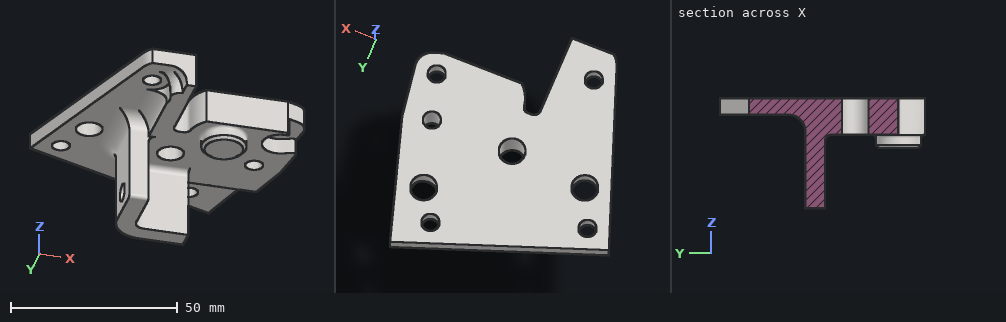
import cadquery as cq
import math

PLATE_THICKNESS = 5.0
CORNER_THICKNESS = 6.0
BLOCK_DEPTH = 11.0
PAD_DEPTH = 15.0
BRACKET_DEPTH = 33.0

TILT_DEG = 20.0
EDGE_OFFSET = 30.22
TOP_CORNER_REACH = 35.47
RIGHT_KINK = (34.75, 2.2)
RIGHT_ROUND_RADIUS = 5.0
RIGHT_FRONT_Y = -21.0
LEFT_FRONT_Y = -40.0
LEFT_ROUND_RADIUS = 7.0
LEFT_ROUND_START_Y = -37.05

SLOT_LEFT_X = -3.0
SLOT_END_Y = -13.0
SLOT_RADIUS = 2.0
PAD_CENTRE = (13.0, -13.0)
PAD_CLEAR_RADIUS = 11.0

SCREW_DIAMETER = 5.4
SCREW_PITCH = 47.14
EXTRA_SCREW = (26.0, 0.0)
LARGE_DIAMETER = 8.0
LARGE_HOLES = [(0.0, 0.0), (-24.6, 2.5), (20.15, 20.75)]
SCREW_CLEAR_RADIUS = 5.5

OUTER_X = -15.0
OUTER_Y = 15.0
WALL = 6.0
OUTER_RADIUS = 9.0
INNER_RADIUS = OUTER_RADIUS - WALL
SIDE_WALL_END_Y = -8.0
BACK_WALL_END_X = 8.0
SIDE_WALL_ROUND = 1.2
CROSS_HOLE_Z = -27.0
BRACKET_ROOT_RADIUS = 2.0
COVE_RADIUS = 5.0
STEP_RADIUS = 3.0
STEP_Y = -35.0
INNER_X = OUTER_X + WALL
INNER_Y = OUTER_Y - WALL

PAD_DIAMETER = 13.6
PAD_EDGE = 1.0

RELIEF_LEFT_X = 31.3
RELIEF_ROUND = 1.0

STOCK_REACH = 80.0
SELECT_MARGIN = 0.1

TILT = math.radians(TILT_DEG)
UPPER_LEFT = math.radians(135)
LOWER_LEFT = math.radians(225)


def tilted(u, v):
    """Point given along and across the tilted plate edges, in X, Y."""
    c = math.cos(TILT)
    s = math.sin(TILT)
    return (u * c - v * s, u * s + v * c)


def on_circle(centre, radius, angle):
    """Point on a circle at an angle measured from +X."""
    return (centre[0] + radius * math.cos(angle), centre[1] + radius * math.sin(angle))


def tangent_angle(point, centre, radius):
    """Angle on a circle where the tangent from a point above it touches its +X side."""
    dx = point[0] - centre[0]
    dy = point[1] - centre[1]
    return math.atan2(dy, dx) - math.acos(radius / math.hypot(dx, dy))


HALF_PITCH = SCREW_PITCH / 2
SCREW_HOLES = [tilted(su * HALF_PITCH, sv * HALF_PITCH) for su in (-1, 1) for sv in (-1, 1)]
LEFT_FRONT_SCREW = tilted(-HALF_PITCH, -HALF_PITCH)
RIGHT_FRONT_SCREW = tilted(HALF_PITCH, -HALF_PITCH)

RIGHT_ROUND_CENTRE = tilted(EDGE_OFFSET - RIGHT_ROUND_RADIUS, RIGHT_ROUND_RADIUS - EDGE_OFFSET)
RIGHT_ROUND_TOP = tangent_angle(RIGHT_KINK, RIGHT_ROUND_CENTRE, RIGHT_ROUND_RADIUS)


def plate_outline():
    """Closed outline shared by the plate and the block."""
    right_round_bottom = TILT - math.pi / 2
    right_round_mid = (RIGHT_ROUND_TOP + right_round_bottom) / 2
    round_end = on_circle(RIGHT_ROUND_CENTRE, RIGHT_ROUND_RADIUS, right_round_bottom)
    front_right_x = round_end[0] - (round_end[1] - RIGHT_FRONT_Y) / math.tan(TILT)

    front_angle = math.pi + math.asin((PAD_CENTRE[1] - RIGHT_FRONT_Y) / PAD_CLEAR_RADIUS)
    blend_y = SLOT_END_Y - SLOT_RADIUS
    blend_angle = math.pi + math.asin((PAD_CENTRE[1] - blend_y) / (PAD_CLEAR_RADIUS + SLOT_RADIUS))
    blend_centre = on_circle(PAD_CENTRE, PAD_CLEAR_RADIUS + SLOT_RADIUS, blend_angle)
    blend_start = blend_angle - math.pi
    blend_mid = (blend_start + math.pi / 2) / 2
    slot_left_centre = (SLOT_LEFT_X + SLOT_RADIUS, blend_y)

    left_v = (LEFT_ROUND_START_Y + EDGE_OFFSET * math.sin(TILT)) / math.cos(TILT)
    left_centre = tilted(LEFT_ROUND_RADIUS - EDGE_OFFSET, left_v)
    left_start = math.pi + TILT
    left_end = math.pi + math.asin((left_centre[1] - LEFT_FRONT_Y) / LEFT_ROUND_RADIUS)
    left_mid = (left_start + left_end) / 2

    return (
        cq.Workplane("XY")
        .moveTo(*tilted(-EDGE_OFFSET, EDGE_OFFSET))
        .lineTo(*tilted(TOP_CORNER_REACH, EDGE_OFFSET))
        .lineTo(*RIGHT_KINK)
        .lineTo(*on_circle(RIGHT_ROUND_CENTRE, RIGHT_ROUND_RADIUS, RIGHT_ROUND_TOP))
        .threePointArc(on_circle(RIGHT_ROUND_CENTRE, RIGHT_ROUND_RADIUS, right_round_mid), round_end)
        .lineTo(front_right_x, RIGHT_FRONT_Y)
        .lineTo(*on_circle(PAD_CENTRE, PAD_CLEAR_RADIUS, front_angle))
        .threePointArc(
            on_circle(PAD_CENTRE, PAD_CLEAR_RADIUS, (front_angle + blend_angle) / 2),
            on_circle(PAD_CENTRE, PAD_CLEAR_RADIUS, blend_angle),
        )
        .threePointArc(
            on_circle(blend_centre, SLOT_RADIUS, blend_mid),
            (blend_centre[0], SLOT_END_Y),
        )
        .lineTo(slot_left_centre[0], SLOT_END_Y)
        .threePointArc(
            on_circle(slot_left_centre, SLOT_RADIUS, UPPER_LEFT),
            (SLOT_LEFT_X, blend_y),
        )
        .lineTo(SLOT_LEFT_X, LEFT_FRONT_Y)
        .lineTo(on_circle(left_centre, LEFT_ROUND_RADIUS, left_end)[0], LEFT_FRONT_Y)
        .threePointArc(
            on_circle(left_centre, LEFT_ROUND_RADIUS, left_mid),
            on_circle(left_centre, LEFT_ROUND_RADIUS, left_start),
        )
        .close()
    )


def plate_with_block():
    """Plate and the thicker block under it, joined by a cove and trimmed to the outline."""
    plate = cq.Workplane("XY").rect(2 * STOCK_REACH, 2 * STOCK_REACH).extrude(-PLATE_THICKNESS)
    step_x = INNER_X + STEP_RADIUS
    step_centre = (step_x, STEP_Y + STEP_RADIUS)
    corner_centre = (OUTER_X + OUTER_RADIUS, OUTER_Y - OUTER_RADIUS)
    block = (
        cq.Workplane("XY")
        .moveTo(STOCK_REACH, OUTER_Y)
        .lineTo(corner_centre[0], OUTER_Y)
        .threePointArc(
            on_circle(corner_centre, OUTER_RADIUS, UPPER_LEFT),
            (OUTER_X, corner_centre[1]),
        )
        .lineTo(OUTER_X, SIDE_WALL_END_Y)
        .lineTo(INNER_X, SIDE_WALL_END_Y)
        .lineTo(INNER_X, step_centre[1])
        .threePointArc(
            on_circle(step_centre, STEP_RADIUS, LOWER_LEFT),
            (step_x, STEP_Y),
        )
        .lineTo(step_x, -STOCK_REACH)
        .lineTo(STOCK_REACH, -STOCK_REACH)
        .close()
        .extrude(-BLOCK_DEPTH)
    )
    inside = STOCK_REACH - SELECT_MARGIN
    cove_edges = cq.selectors.BoxSelector(
        (-inside, -inside, -PLATE_THICKNESS - SELECT_MARGIN),
        (inside, inside, -PLATE_THICKNESS + SELECT_MARGIN),
    )
    stock = plate.union(block).edges(cove_edges).fillet(COVE_RADIUS)
    return stock.intersect(plate_outline().extrude(-BLOCK_DEPTH))


def bracket():
    """L-shaped bracket hanging below the block."""
    height = BRACKET_DEPTH - BLOCK_DEPTH
    middle_z = -BRACKET_DEPTH + height / 2
    walls = (
        cq.Workplane("XY", origin=(0, 0, -BRACKET_DEPTH))
        .moveTo(OUTER_X, SIDE_WALL_END_Y)
        .lineTo(INNER_X, SIDE_WALL_END_Y)
        .lineTo(INNER_X, INNER_Y)
        .lineTo(BACK_WALL_END_X, INNER_Y)
        .lineTo(BACK_WALL_END_X, OUTER_Y)
        .lineTo(OUTER_X, OUTER_Y)
        .close()
        .extrude(height)
    )
    outer_corner = cq.selectors.NearestToPointSelector((OUTER_X, OUTER_Y, middle_z))
    walls = walls.edges(outer_corner).fillet(OUTER_RADIUS)
    inner_corner = cq.selectors.NearestToPointSelector((INNER_X, INNER_Y, middle_z))
    walls = walls.edges(inner_corner).fillet(INNER_RADIUS)
    return walls.faces("<Y").edges("<Z").fillet(SIDE_WALL_ROUND)


def round_bracket_root(body):
    """Fillet the inner faces of the bracket into the underside of the block."""
    root_edges = cq.selectors.BoxSelector(
        (INNER_X - SELECT_MARGIN, SIDE_WALL_END_Y + SELECT_MARGIN, -BLOCK_DEPTH - SELECT_MARGIN),
        (BACK_WALL_END_X - SELECT_MARGIN, INNER_Y + SELECT_MARGIN, -BLOCK_DEPTH + SELECT_MARGIN),
    )
    return body.edges(root_edges).fillet(BRACKET_ROOT_RADIUS)


def add_pad(body):
    """Round pad with a filleted root and a chamfered lower edge."""
    radius = PAD_DIAMETER / 2
    bottom = BLOCK_DEPTH - PAD_DEPTH
    profile = (
        cq.Workplane("XZ", origin=(*PAD_CENTRE, -BLOCK_DEPTH))
        .moveTo(0, PAD_EDGE)
        .lineTo(radius + PAD_EDGE, PAD_EDGE)
        .lineTo(radius + PAD_EDGE, 0)
        .radiusArc((radius, -PAD_EDGE), -PAD_EDGE)
        .lineTo(radius, bottom + PAD_EDGE)
        .lineTo(radius - PAD_EDGE, bottom)
        .lineTo(0, bottom)
        .close()
    )
    return body.union(profile.revolve(360, (0, 0, 0), (0, 1, 0)))


def left_screw_clearance():
    """Space for the head of the left front screw, up to the plate."""
    return (
        cq.Workplane("XY", origin=(0, 0, -BLOCK_DEPTH))
        .center(*LEFT_FRONT_SCREW)
        .circle(SCREW_CLEAR_RADIUS)
        .extrude(BLOCK_DEPTH - PLATE_THICKNESS)
    )


def corner_relief():
    """Clearance round the right front screw, open to the rounded corner of the plate."""
    depth = BLOCK_DEPTH - CORNER_THICKNESS
    base = cq.Workplane("XY", origin=(0, 0, -BLOCK_DEPTH))
    round_part = base.center(*RIGHT_FRONT_SCREW).circle(SCREW_CLEAR_RADIUS).extrude(depth)
    wall_start = on_circle(RIGHT_FRONT_SCREW, SCREW_CLEAR_RADIUS, math.pi / 2 - TILT)
    wall_end = (STOCK_REACH, wall_start[1] - (STOCK_REACH - wall_start[0]) * math.tan(TILT))
    open_part = (
        base.moveTo(RELIEF_LEFT_X, RIGHT_FRONT_SCREW[1])
        .lineTo(*wall_start)
        .lineTo(*wall_end)
        .lineTo(STOCK_REACH, -STOCK_REACH)
        .lineTo(RELIEF_LEFT_X, -STOCK_REACH)
        .close()
        .extrude(depth)
    )
    return round_part.union(open_part)


def cut_corner_relief(body):
    """Cut the relief and round the block where the relief wall meets the right edge."""
    near_x = RIGHT_ROUND_CENTRE[0] + RIGHT_ROUND_RADIUS
    near_y = RIGHT_ROUND_CENTRE[1] + RIGHT_ROUND_RADIUS
    middle_z = -(BLOCK_DEPTH + CORNER_THICKNESS) / 2
    corner_edge = cq.selectors.NearestToPointSelector((near_x, near_y, middle_z))
    return body.cut(corner_relief()).edges("|Z").edges(corner_edge).fillet(RELIEF_ROUND)


def drill_through(body, centres, diameter):
    """Vertical holes through the plate and the block."""
    drills = cq.Workplane("XY").pushPoints(centres).circle(diameter / 2).extrude(-BLOCK_DEPTH)
    return body.cut(drills)


def cross_hole():
    """Hole along X through the side wall of the bracket."""
    return (
        cq.Workplane("YZ", origin=(OUTER_X, 0, CROSS_HOLE_Z))
        .circle(SCREW_DIAMETER / 2)
        .extrude(WALL)
    )


result = plate_with_block().union(bracket())
result = round_bracket_root(result)
result = add_pad(result)
result = cut_corner_relief(result)
result = result.cut(left_screw_clearance()).cut(cross_hole())
result = drill_through(result, SCREW_HOLES + [EXTRA_SCREW], SCREW_DIAMETER)
result = drill_through(result, LARGE_HOLES, LARGE_DIAMETER)
result = cq.Workplane(result.solids().val())